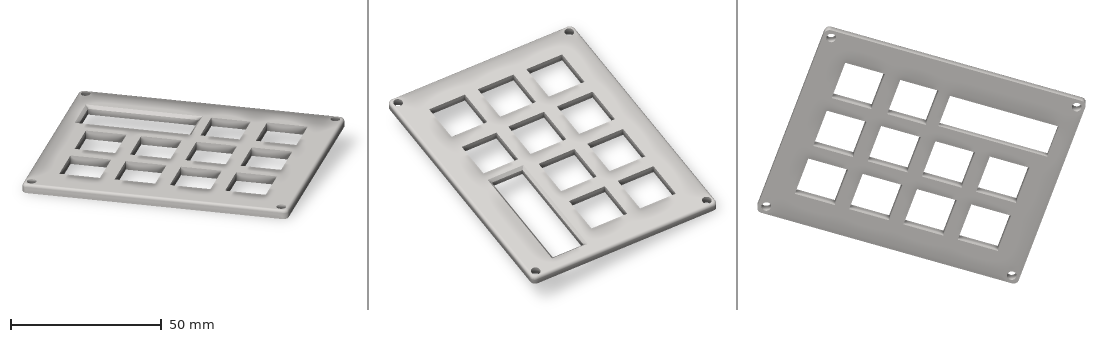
import cadquery as cq
import math

plate_length = 91.5
plate_width = 72.4
wall_height = 3.0
tilt_angle = 5.0
corner_radius = 1.8
rim_radius = 1.0
rise = plate_width * math.tan(math.radians(tilt_angle))
full_height = rise + wall_height

key_pitch = 19.0
key_size = 14.0
key_columns = 4
key_rows = 3

small_opening_size = 13.5
small_opening_x = key_pitch / 2 - (key_size - small_opening_size) / 2
small_opening_y = 18.7

window_length = 38.1
window_width = 12.0
window_bevel = 1.0
window_x = -20.7
window_y = 18.75

screw_diameter = 3.2
screw_edge_distance = 2.7


def make_plate():
    """Sloping slab with vertical walls, rounded corners and a rounded top rim."""
    half_width = plate_width / 2
    side_profile = [
        (-half_width, 0),
        (half_width, rise),
        (half_width, rise + wall_height),
        (-half_width, wall_height),
    ]
    slab = cq.Workplane("YZ").polyline(side_profile).close().extrude(plate_length / 2, both=True)
    slab = slab.edges("|Z").fillet(corner_radius)
    top_face = cq.NearestToPointSelector((0, 0, rise / 2 + wall_height))
    return slab.faces(top_face).edges().fillet(rim_radius)


def key_centers():
    """Both lower rows are full; the upper row has only its last key."""
    centers = []
    for row in range(key_rows):
        for column in range(key_columns):
            is_top_row = row == key_rows - 1
            is_last_column = column == key_columns - 1
            if not is_top_row or is_last_column:
                x = (column - (key_columns - 1) / 2) * key_pitch
                y = (row - (key_rows - 1) / 2) * key_pitch
                centers.append((x, y))
    return centers


def through_rectangle(centers, length, width):
    return cq.Workplane("XY").pushPoints(centers).rect(length, width).extrude(full_height)


def make_window_flare():
    """Cutter flaring at 45 degrees to the sloping top face, centred on the window."""
    surface_z = wall_height + rise * (window_y / plate_width + 0.5)
    rim_length = window_length + 2 * window_bevel
    rim_width = window_width + 2 * window_bevel
    flare = (
        cq.Workplane("XY")
        .rect(rim_length, rim_width)
        .workplane(offset=-window_bevel)
        .rect(window_length, window_width)
        .loft(ruled=True)
    )
    return flare.rotate((0, 0, 0), (1, 0, 0), tilt_angle).translate((window_x, window_y, surface_z))


def make_screw_holes():
    spacing_x = plate_length - 2 * screw_edge_distance
    spacing_y = plate_width - 2 * screw_edge_distance
    return (
        cq.Workplane("XY")
        .rect(spacing_x, spacing_y, forConstruction=True)
        .vertices()
        .circle(screw_diameter / 2)
        .extrude(full_height)
    )


result = (
    make_plate()
    .cut(through_rectangle(key_centers(), key_size, key_size))
    .cut(through_rectangle([(small_opening_x, small_opening_y)], small_opening_size, small_opening_size))
    .cut(through_rectangle([(window_x, window_y)], window_length, window_width))
    .cut(make_window_flare())
    .cut(make_screw_holes())
)